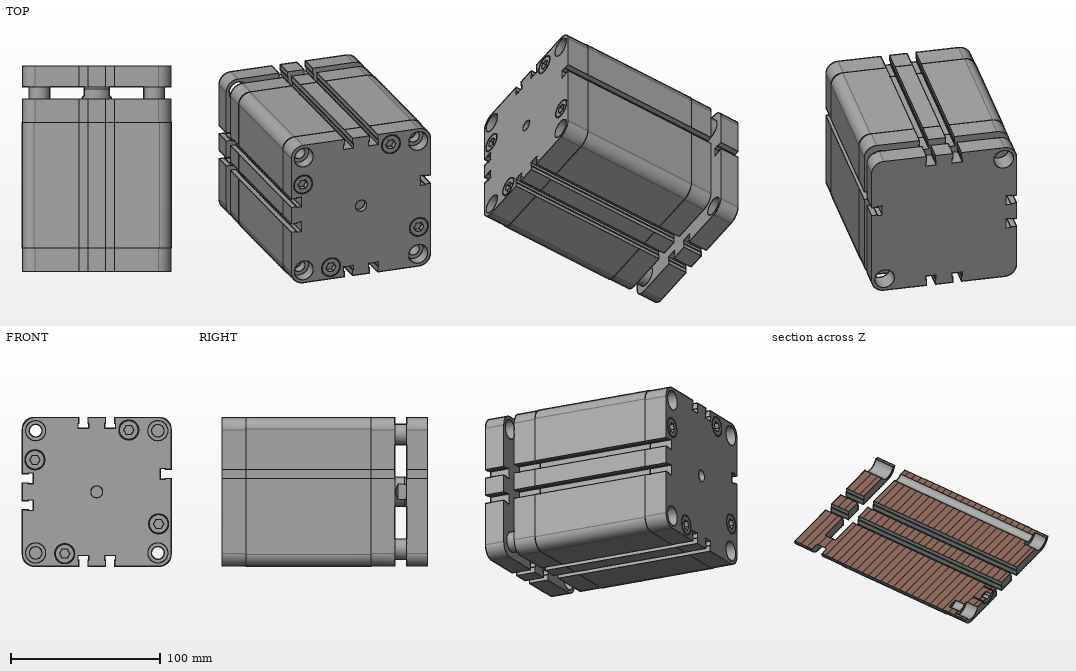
import cadquery as cq
import math

BARREL_SIDE = 100.0
CAP_INSET = 0.1
CAP_SIDE = BARREL_SIDE - 2 * CAP_INSET
CAP_LENGTH = 16.0
BARREL_LENGTH = 84.0
ROD_GAP = 8.0
PLATE_THICKNESS = 14.0
BODY_LENGTH = 2 * CAP_LENGTH + BARREL_LENGTH
PLATE_START = BODY_LENGTH + ROD_GAP

CAP_CORNER_RADIUS = 8.5
BARREL_CORNER_RADIUS = 8.0

SLOT_OFFSET = 9.0
SINGLE_SLOT_OFFSET = 12.0
MOUTH_WIDTH = 6.0
CHANNEL_WIDTH = 7.0
MOUTH_DEPTH = 4.0
SLOT_DEPTH = 7.25

MOUNT_OFFSET = 41.0
MOUNT_BORE = 13.5
MOUNT_BORE_DEPTH = 9.0
MOUNT_HOLE = 8.38
PLATE_HOLE = 13.5

SCREW_LONG_OFFSET = 41.5
SCREW_SHORT_OFFSET = 21.5
SCREW_BORE = 13.5
SCREW_HEAD = 12.5
SCREW_HEAD_HEIGHT = 8.0
HEX_ACROSS_FLATS = 6.0
HEX_ACROSS_CORNERS = 2 * HEX_ACROSS_FLATS / math.sqrt(3)
HEX_DEPTH = 4.0

CENTER_HOLE = 8.0
CENTER_HOLE_DEPTH = 4.0

GUIDE_ROD = 14.0
GUIDE_OFFSET = 38.5
PISTON_ROD = 20.0
ROD_FLATS = 17.0
FLAT_RUNOUT = (PISTON_ROD - ROD_FLATS) / 2
FLAT_LENGTH = 5.75
ROD_CHAMFER_LENGTH = 1.5
ROD_CHAMFER_WIDTH = 0.5


def plane_at(y):
    """Workplane normal to +Y; its local axes are X and -Z."""
    return cq.Workplane("XZ", origin=(0, y, 0)).transformed(rotate=(180, 0, 0))


def block(start, length, side, corner_radius):
    """Square block along Y with rounded long edges."""
    return plane_at(start).rect(side, side).extrude(length).edges("|Y").fillet(corner_radius)


def cylinder(x, z, diameter, start, length):
    return plane_at(start).center(x, -z).circle(diameter / 2).extrude(length)


def slot(offset, angle, start, length, side):
    """Slot in the top face turned about Y to another face."""
    surface = side / 2
    lip = surface - MOUTH_DEPTH
    floor = surface - SLOT_DEPTH
    mouth_half = MOUTH_WIDTH / 2
    channel_half = CHANNEL_WIDTH / 2
    profile = [
        (offset - mouth_half, surface),
        (offset - mouth_half, lip),
        (offset - channel_half, lip),
        (offset - channel_half, floor),
        (offset + channel_half, floor),
        (offset + channel_half, lip),
        (offset + mouth_half, lip),
        (offset + mouth_half, surface),
    ]
    channel = cq.Workplane("XZ", origin=(0, start, 0)).polyline(profile).close().extrude(-length)
    return channel.rotate((0, 0, 0), (0, 1, 0), angle)


def slotted_block(start, length, side, corner_radius):
    """Block with two slots on the top, bottom and -X faces and one on the +X face."""
    body = block(start, length, side, corner_radius)
    for angle in (0, 180, 270):
        for offset in (-SLOT_OFFSET, SLOT_OFFSET):
            body = body.cut(slot(offset, angle, start, length, side))
    return body.cut(slot(-SINGLE_SLOT_OFFSET, 90, start, length, side))


def cap(start, length):
    return slotted_block(start, length, CAP_SIDE, CAP_CORNER_RADIUS)


def piston_rod():
    """Rod with a tapered shoulder at the plate and two flats ending in 45 degree run-outs."""
    radius = PISTON_ROD / 2
    flat = ROD_FLATS / 2
    flat_end = PLATE_START - FLAT_LENGTH
    profile = [
        (0, BODY_LENGTH),
        (radius, BODY_LENGTH),
        (radius, PLATE_START - ROD_CHAMFER_LENGTH),
        (radius - ROD_CHAMFER_WIDTH, PLATE_START),
        (0, PLATE_START),
    ]
    rod = cq.Workplane("XY").polyline(profile).close().revolve(360, (0, 0, 0), (0, 1, 0))
    cut = [
        (flat, PLATE_START),
        (flat, flat_end),
        (flat + FLAT_RUNOUT, flat_end - FLAT_RUNOUT),
        (flat + FLAT_RUNOUT, PLATE_START),
    ]
    side_cut = cq.Workplane("XY").polyline(cut).close().extrude(radius, both=True)
    return rod.cut(side_cut).cut(side_cut.mirror("YZ"))


def cap_screw_recess(x, z):
    """Ring-shaped gap around a flush screw head, plus the hexagon socket."""
    ring = cylinder(x, z, SCREW_BORE, 0, SCREW_HEAD_HEIGHT)
    ring = ring.cut(cylinder(x, z, SCREW_HEAD, 0, SCREW_HEAD_HEIGHT))
    socket = plane_at(0).center(x, -z).polygon(6, HEX_ACROSS_CORNERS).extrude(HEX_DEPTH)
    return ring.union(socket)


result = slotted_block(CAP_LENGTH, BARREL_LENGTH, BARREL_SIDE, BARREL_CORNER_RADIUS)
result = result.union(cap(0, CAP_LENGTH))
result = result.union(cap(BODY_LENGTH - CAP_LENGTH, CAP_LENGTH))
plate = cap(PLATE_START, PLATE_THICKNESS)

for x_sign in (-1, 1):
    for z_sign in (-1, 1):
        x = x_sign * MOUNT_OFFSET
        z = z_sign * MOUNT_OFFSET
        has_guide_rod = x_sign == z_sign
        hole_length = CAP_LENGTH if has_guide_rod else BODY_LENGTH
        result = result.cut(cylinder(x, z, MOUNT_BORE, 0, MOUNT_BORE_DEPTH))
        result = result.cut(cylinder(x, z, MOUNT_HOLE, 0, hole_length))
        if not has_guide_rod:
            plate = plate.cut(cylinder(x, z, PLATE_HOLE, PLATE_START, PLATE_THICKNESS))

screw_places = [
    (SCREW_SHORT_OFFSET, SCREW_LONG_OFFSET),
    (SCREW_LONG_OFFSET, -SCREW_SHORT_OFFSET),
    (-SCREW_SHORT_OFFSET, -SCREW_LONG_OFFSET),
    (-SCREW_LONG_OFFSET, SCREW_SHORT_OFFSET),
]
for x, z in screw_places:
    result = result.cut(cap_screw_recess(x, z))

result = result.cut(cylinder(0, 0, CENTER_HOLE, 0, CENTER_HOLE_DEPTH))

result = result.union(plate).union(piston_rod())
for sign in (-1, 1):
    place = sign * GUIDE_OFFSET
    result = result.union(cylinder(place, place, GUIDE_ROD, BODY_LENGTH, ROD_GAP))